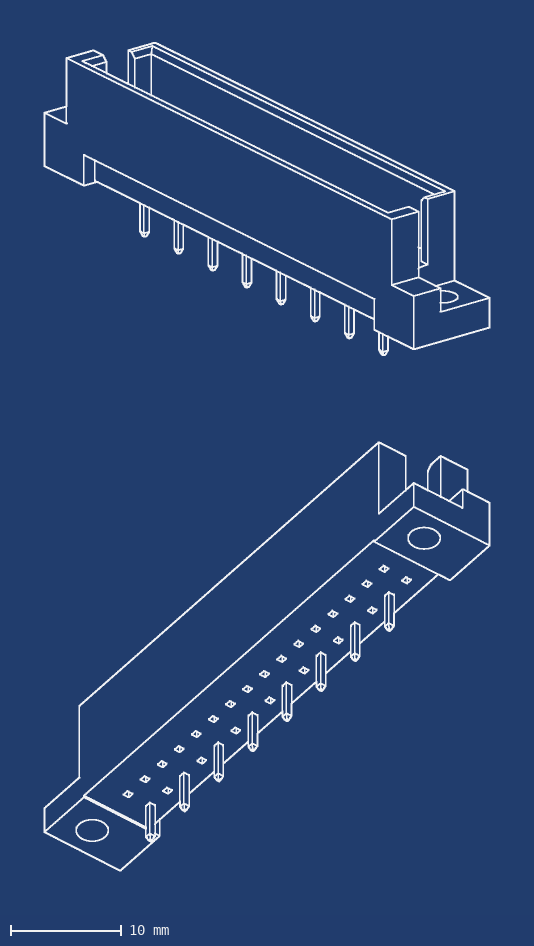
import cadquery as cq
import math

PITCH = 2.54
COLUMNS = 16
PIN_WIDTH = 0.6
PIN_BOTTOM = -4.0
PIN_TOP = 9.8
PIN_TIP_LENGTH = 0.45
PIN_TIP_WIDTH = 0.25

LENGTH = 55.0
DEPTH = 8.6
HEIGHT = 11.6
EAR_HEIGHT = 2.9
FLOOR_HEIGHT = 5.2

FRONT_LENGTH = 48.4
REAR_LENGTH = 44.6
WALL_REACH = 3.05
WALL_THICKNESS = 1.2
FRONT_CAVITY_LENGTH = 44.5
REAR_CAVITY_LENGTH = 42.6
LEAD_IN_WIDTH = 0.5

MOUNT_SPACING = 49.4
MOUNT_Y = 5.3
MOUNT_DIAMETER = 2.9
MOUNT_CLEARANCE_RADIUS = (MOUNT_SPACING - REAR_LENGTH) / 2

FOOT_LENGTH = 5.9
RELIEF_HEIGHT = 3.0
RELIEF_DEPTH = 1.2
STANDOFF = 0.2

FRONT_ROW_Y = 3.0
REAR_ROW_Y = FRONT_ROW_Y + PITCH
COLUMN_X = [(column - (COLUMNS - 1) / 2) * PITCH for column in range(COLUMNS)]
FRONT_ROW = [(x, FRONT_ROW_Y) for x in COLUMN_X]
REAR_ROW = [(x, REAR_ROW_Y) for x in COLUMN_X]
PIN_POSITIONS = FRONT_ROW[1::2]
MOUNT_POSITIONS = [(side * MOUNT_SPACING / 2, MOUNT_Y) for side in (-1, 1)]


def block(length, y_start, y_end, z_start, z_end):
    """Box centred on X that spans the given Y and Z ranges."""
    return (
        cq.Workplane("XY", origin=(0, (y_start + y_end) / 2, z_start))
        .box(length, y_end - y_start, z_end - z_start, centered=(True, True, False))
    )


def lead_in(length, y_start, y_end):
    """Cutter that bevels the rim of a cavity with the given plan outline."""
    middle_y = (y_start + y_end) / 2
    return (
        cq.Workplane("XY", origin=(0, middle_y, HEIGHT - LEAD_IN_WIDTH))
        .rect(length, y_end - y_start)
        .workplane(offset=LEAD_IN_WIDTH)
        .rect(length + 2 * LEAD_IN_WIDTH, y_end - y_start + 2 * LEAD_IN_WIDTH)
        .loft(combine=True)
    )


def make_base():
    """Full-length base with lowered ear pads that end in an arc around the mounting holes."""
    arc_half_width = math.sqrt(MOUNT_CLEARANCE_RADIUS**2 - (MOUNT_Y - WALL_REACH) ** 2)
    arc_end = (MOUNT_SPACING / 2 - arc_half_width, WALL_REACH)
    ear_cut = (
        cq.Workplane("XY", origin=(0, 0, EAR_HEIGHT))
        .moveTo(LENGTH / 2, WALL_REACH)
        .lineTo(LENGTH / 2, DEPTH)
        .lineTo(REAR_LENGTH / 2, DEPTH)
        .lineTo(REAR_LENGTH / 2, MOUNT_Y)
        .radiusArc(arc_end, -MOUNT_CLEARANCE_RADIUS)
        .close()
        .extrude(FLOOR_HEIGHT - EAR_HEIGHT)
    )
    return block(LENGTH, 0, DEPTH, 0, FLOOR_HEIGHT).cut(ear_cut).cut(ear_cut.mirror("YZ"))


def make_shroud():
    """Front and rear C-shaped walls, open between them at both ends."""
    front_inner_end = WALL_REACH + LEAD_IN_WIDTH
    rear_start = DEPTH - WALL_REACH
    rear_inner_start = rear_start - LEAD_IN_WIDTH
    rear_inner_end = DEPTH - WALL_THICKNESS
    front = (
        block(FRONT_LENGTH, 0, WALL_REACH, FLOOR_HEIGHT, HEIGHT)
        .cut(block(FRONT_CAVITY_LENGTH, WALL_THICKNESS, front_inner_end, FLOOR_HEIGHT, HEIGHT))
        .cut(lead_in(FRONT_CAVITY_LENGTH, WALL_THICKNESS, front_inner_end))
    )
    rear = (
        block(REAR_LENGTH, rear_start, DEPTH, FLOOR_HEIGHT, HEIGHT)
        .cut(block(REAR_CAVITY_LENGTH, rear_inner_start, rear_inner_end, FLOOR_HEIGHT, HEIGHT))
        .cut(lead_in(REAR_CAVITY_LENGTH, rear_inner_start, rear_inner_end))
    )
    return front.union(rear)


def make_housing():
    """Base and shroud with the underside relief, mounting holes and contact holes cut."""
    relief_length = LENGTH - 2 * FOOT_LENGTH
    mount_holes = (
        cq.Workplane("XY")
        .pushPoints(MOUNT_POSITIONS)
        .circle(MOUNT_DIAMETER / 2)
        .extrude(EAR_HEIGHT)
    )
    contact_holes = (
        cq.Workplane("XY")
        .pushPoints(FRONT_ROW + REAR_ROW)
        .rect(PIN_WIDTH, PIN_WIDTH)
        .extrude(FLOOR_HEIGHT)
    )
    return (
        make_base()
        .union(make_shroud())
        .cut(block(relief_length, 0, RELIEF_DEPTH, 0, RELIEF_HEIGHT))
        .cut(block(relief_length, 0, DEPTH, 0, STANDOFF))
        .cut(mount_holes)
        .cut(contact_holes)
    )


def make_pin(x, y):
    """Square contact pin with a blunt pyramid at each end."""
    shank_bottom = PIN_BOTTOM + PIN_TIP_LENGTH
    shank_top = PIN_TOP - PIN_TIP_LENGTH
    shank = (
        cq.Workplane("XY", origin=(x, y, shank_bottom))
        .rect(PIN_WIDTH, PIN_WIDTH)
        .extrude(shank_top - shank_bottom)
    )
    for z, direction in ((shank_bottom, -1), (shank_top, 1)):
        tip = (
            cq.Workplane("XY", origin=(x, y, z))
            .rect(PIN_WIDTH, PIN_WIDTH)
            .workplane(offset=direction * PIN_TIP_LENGTH)
            .rect(PIN_TIP_WIDTH, PIN_TIP_WIDTH)
            .loft(combine=True)
        )
        shank = shank.union(tip)
    return shank


housing = make_housing()
pins = [make_pin(x, y) for x, y in PIN_POSITIONS]

result = cq.Compound.makeCompound([housing.val(), *[pin.val() for pin in pins]])